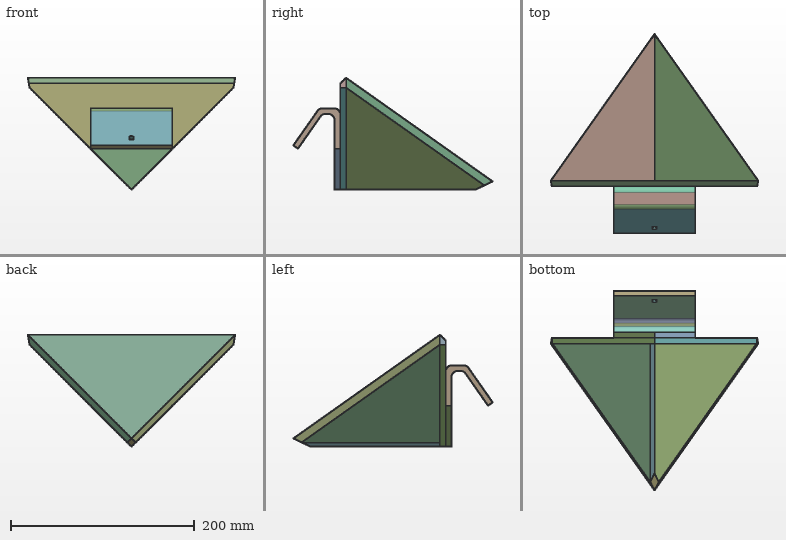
import cadquery as cq
import math

overall_width = 226.0
plate_thickness = 6.3
hook_width = 89.0
hook_height = 88.6
hook_reach = 22.8
lip_angle = 35.0
outer_bend_radius = 6.3
inner_bend_radius = 6.3
hole_diameter = 5.0
hole_height = 56.5
tip_run = 2.1

half_width = overall_width / 2
valley_height = plate_thickness * math.sqrt(2)
seam_offset = plate_thickness / math.sqrt(2)
top_height = half_width + valley_height
tip_y = half_width * math.sqrt(2)
stock_reach = half_width + 2 * plate_thickness
stock_length = tip_y + 2 * plate_thickness
cutter_size = 3 * overall_width

bevel_x = (math.sqrt(2) + 1) / (2 * math.sqrt(2))
bevel_y = 1 / 2
bevel_z = (1 - math.sqrt(2)) / (2 * math.sqrt(2))

bevel_drop = valley_height / (1 + bevel_z / bevel_x)
shoulder = top_height - bevel_drop


def half_space(origin, normal, along):
    """Large block lying on the normal side of a plane."""
    plane = cq.Plane(origin=origin, xDir=along, normal=normal)
    return cq.Workplane(plane).rect(cutter_size, cutter_size).extrude(cutter_size)


def make_wing(section, side):
    """Trough wing; side is -1 on -X and +1 on +X."""
    stock = cq.Workplane("XZ").polyline(section).close().extrude(-stock_length)
    tip = (0, tip_y, valley_height)
    edge_direction = (side * half_width, -tip_y, half_width)
    bevel_cutter = half_space(tip, (side * bevel_x, bevel_y, bevel_z), edge_direction)
    tip_cutter = half_space(tip, (0, 1, -tip_run), (1, 0, 0))
    return stock.cut(bevel_cutter).cut(tip_cutter)


def make_end_wall():
    """Wall closing the trough, with a full-thickness chamfer along its top."""
    outline = [
        (0, 0),
        (shoulder, shoulder),
        (half_width, top_height),
        (-half_width, top_height),
        (-shoulder, shoulder),
    ]
    wall = cq.Workplane("XZ").polyline(outline).close().extrude(plate_thickness)
    top_chamfer = half_space((0, 0, top_height), (0, -1, 1), (1, 0, 0))
    return wall.cut(top_chamfer)


def make_hook():
    """Bent hook whose back follows the pointed foot of the end wall."""
    angle = math.radians(lip_angle)
    back_y = -plate_thickness
    inner_y = back_y - plate_thickness
    inner_top = hook_height - plate_thickness
    bend_y = back_y - hook_reach
    inner_bend_y = bend_y + plate_thickness * math.tan(math.pi / 4 - angle / 2)
    lip_bottom = hook_width / 2
    lip_outer_z = lip_bottom + plate_thickness * math.sin(angle)
    lip_outer_y = bend_y - (hook_height - lip_outer_z) * math.tan(angle)
    lip_inner_y = lip_outer_y + plate_thickness * math.cos(angle)

    profile = [
        (back_y, 0),
        (back_y, hook_height),
        (bend_y, hook_height),
        (lip_outer_y, lip_outer_z),
        (lip_inner_y, lip_bottom),
        (inner_bend_y, inner_top),
        (inner_y, inner_top),
        (inner_y, 0),
    ]
    hook = cq.Workplane("YZ").polyline(profile).close().extrude(hook_width / 2, both=True)

    def bend_edges(corners):
        """Selector for the full-width edges through the given Y-Z corners."""
        reach = plate_thickness / 10
        selector = None
        for y, z in corners:
            box = cq.selectors.BoxSelector((-reach, y - reach, z - reach), (reach, y + reach, z + reach))
            selector = box if selector is None else selector + box
        return selector

    outer_corners = [(back_y, hook_height), (bend_y, hook_height)]
    inner_corners = [(inner_y, inner_top), (inner_bend_y, inner_top)]
    hook = hook.edges(bend_edges(outer_corners)).fillet(outer_bend_radius)
    hook = hook.edges(bend_edges(inner_corners)).fillet(inner_bend_radius)

    foot_mid_y = (back_y + inner_y) / 2
    for side in (-1, 1):
        foot_cutter = (
            cq.Workplane("XZ", origin=(0, foot_mid_y, 0))
            .polyline([(0, 0), (side * hook_width, 0), (side * hook_width, hook_width)])
            .close()
            .extrude(plate_thickness, both=True)
        )
        hook = hook.cut(foot_cutter)

    hole_y = bend_y - (hook_height - hole_height) * math.tan(angle)
    hole_plane = cq.Plane(
        origin=(0, hole_y, hole_height),
        xDir=(1, 0, 0),
        normal=(0, math.cos(angle), -math.sin(angle)),
    )
    hole = cq.Workplane(hole_plane).circle(hole_diameter / 2).extrude(2 * plate_thickness, both=True)
    return hook.cut(hole)


right_section = [
    (0, 0),
    (stock_reach, stock_reach),
    (stock_reach, stock_reach + valley_height),
    (-seam_offset, seam_offset),
]
left_section = [
    (0, valley_height),
    (-stock_reach, stock_reach + valley_height),
    (-stock_reach, stock_reach),
    (-seam_offset, seam_offset),
]

right_wing = make_wing(right_section, 1)
left_wing = make_wing(left_section, -1)
end_wall = make_end_wall()
hook = make_hook()

result = cq.Compound.makeCompound([right_wing.val(), left_wing.val(), end_wall.val(), hook.val()])